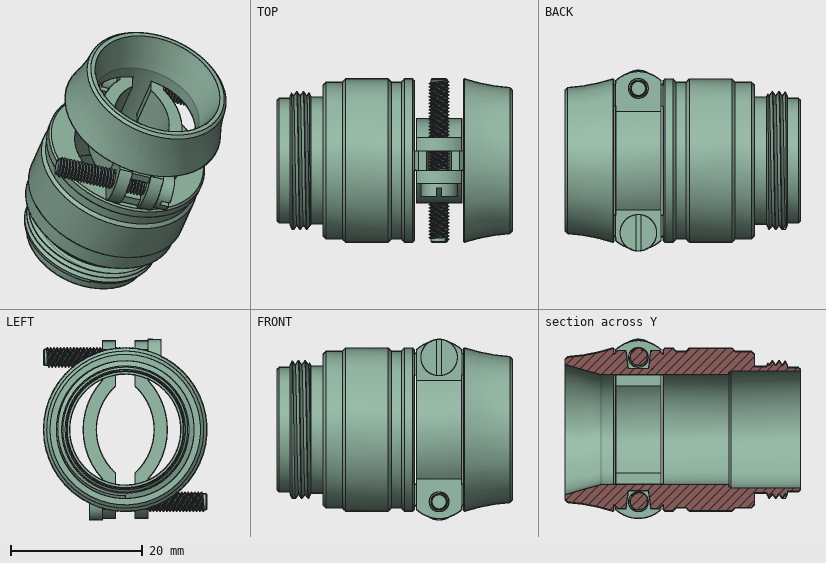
import cadquery as cq
SLEEVE_START = -18.0
SLEEVE_END = 3.0
SPIGOT_RADIUS = 9.55
THREAD_CORE_RADIUS = 9.72
THREAD_CREST_RADIUS = 10.5
COLLAR_RADIUS = 12.0
BAND_RADIUS = 12.5
EDGE_CHAMFER = 0.5
SPIGOT_CHAMFER = 0.35
THREAD_START = -16.02
THREAD_END = -12.78
GROOVE_START = -15.7
THREAD_RUN_OUT = 0.35
THREAD_PITCH = 1.0
THREAD_ROOT_RADIUS = 9.85
COLLAR_START = -10.98
WIDE_BAND_START = -8.0
WIDE_BAND_END = -0.5
REAR_BAND_START = 1.0
REAR_CHAMFER = 0.3

ENTRY_BORE_RADIUS = 9.0
ENTRY_BORE_END = -7.35
MIDDLE_BORE_RADIUS = 8.85
MIDDLE_BORE_END = -7.02
BORE_RADIUS = 8.45

RING_START = 10.5
RING_END = 18.0
RING_MIDDLE_X = 14.1
RING_MIDDLE_RADIUS = 11.6
RING_REAR_RADIUS = 11.12
RING_FRONT_CHAMFER = 0.1
RING_REAR_CHAMFER = 0.45
RING_LIP_END = 12.5
RING_MOUTH_RADIUS = 10.0

CLAMP_CENTER_X = 6.75
CLAMP_WIDTH = 6.9
CLAMP_INNER_RADIUS = 9.0
CLAMP_WALL = 2.05
CLAMP_SHIFT = 4.6
LUG_GAP = 2.95
LUG_THICKNESS = 2.0
LUG_SHOULDER_Z = 12.2
LUG_TOP_Z = 13.57
BRIDGE_TOP_Z = 12.1
BRIDGE_CHAMFER = 0.65
GROOVE_TOP_WIDTH = 3.78
GROOVE_FLOOR_WIDTH = 3.05
GROOVE_FLOOR_Z = 9.35

SCREW_Z = 11.0
SCREW_RADIUS = 1.5
SCREW_ROOT_RADIUS = 1.25
SCREW_PITCH = 0.5
SCREW_TIP_Y = BAND_RADIUS
SCREW_TIP_CHAMFER = 0.18
HEAD_RADIUS = 2.79
HEAD_HEIGHT = 1.98
SLOT_WIDTH = 0.75
SLOT_DEPTH = 1.3

THREAD_FILL = 0.96
RIDGE_OVERLAP = 0.1
THREAD_SINK = 0.3
GROOVE_OVERRUN = 0.05

LUG_INNER_Y = LUG_GAP / 2
LUG_OUTER_Y = LUG_INNER_Y + LUG_THICKNESS


def revolve_about_x(points):
    profile = cq.Workplane("XY").polyline(points).close()
    return profile.revolve(360, (0, 0, 0), (1, 0, 0))


def half_turn(shape):
    return shape.rotate((0, 0, 0), (1, 0, 0), 180)


def helical_sweep(corners, pitch, length):
    """Solid swept by a (radius, z) outline winding around Z from z = 0 to z = length."""
    path = cq.Wire.makeHelix(pitch, length, corners[0][0])
    return cq.Workplane("XZ").polyline(corners).close().sweep(cq.Workplane(obj=path), isFrenet=True)


def sleeve():
    """Outer shape of the sleeve, still solid."""
    c = EDGE_CHAMFER
    return revolve_about_x([
        (SLEEVE_START, 0),
        (SLEEVE_START, SPIGOT_RADIUS - SPIGOT_CHAMFER),
        (SLEEVE_START + SPIGOT_CHAMFER, SPIGOT_RADIUS),
        (THREAD_START, SPIGOT_RADIUS),
        (THREAD_START, THREAD_CORE_RADIUS),
        (COLLAR_START, THREAD_CORE_RADIUS),
        (COLLAR_START, COLLAR_RADIUS - c),
        (COLLAR_START + c, COLLAR_RADIUS),
        (WIDE_BAND_START, COLLAR_RADIUS),
        (WIDE_BAND_START + c, BAND_RADIUS),
        (WIDE_BAND_END - c, BAND_RADIUS),
        (WIDE_BAND_END, COLLAR_RADIUS),
        (REAR_BAND_START, COLLAR_RADIUS),
        (REAR_BAND_START + c, BAND_RADIUS),
        (SLEEVE_END - REAR_CHAMFER, BAND_RADIUS),
        (SLEEVE_END, BAND_RADIUS - REAR_CHAMFER),
        (SLEEVE_END, 0),
    ])


def sleeve_thread():
    """Outer thread: a V groove wound through a band with chamfered ends."""
    band = revolve_about_x([
        (THREAD_START, 0),
        (THREAD_START, THREAD_CORE_RADIUS),
        (THREAD_START + THREAD_RUN_OUT, THREAD_CREST_RADIUS),
        (THREAD_END - THREAD_RUN_OUT, THREAD_CREST_RADIUS),
        (THREAD_END, THREAD_CORE_RADIUS),
        (THREAD_END, 0),
    ])
    half_width = THREAD_FILL * THREAD_PITCH / 2
    mouth_radius = THREAD_CREST_RADIUS + GROOVE_OVERRUN
    corners = [(mouth_radius, -half_width), (THREAD_ROOT_RADIUS, 0), (mouth_radius, half_width)]
    groove = helical_sweep(corners, THREAD_PITCH, THREAD_END + THREAD_PITCH - GROOVE_START)
    groove = groove.rotate((0, 0, 0), (0, 1, 0), 90).translate((GROOVE_START, 0, 0))
    return band.cut(groove)


def end_ring():
    """Flared ring, still solid, with a hollow-curved outer side."""
    profile = (
        cq.Workplane("XY")
        .moveTo(RING_START, 0)
        .lineTo(RING_START, BAND_RADIUS - RING_FRONT_CHAMFER)
        .lineTo(RING_START + RING_FRONT_CHAMFER, BAND_RADIUS)
        .threePointArc((RING_MIDDLE_X, RING_MIDDLE_RADIUS), (RING_END, RING_REAR_RADIUS))
        .lineTo(RING_END, 0)
        .close()
    )
    ring = profile.revolve(360, (0, 0, 0), (1, 0, 0))
    return ring.faces(">X").edges().chamfer(RING_REAR_CHAMFER)


def bore():
    """Stepped bore through the sleeve, opening into a cone at the rear of the ring."""
    return revolve_about_x([
        (SLEEVE_START, 0),
        (SLEEVE_START, ENTRY_BORE_RADIUS),
        (ENTRY_BORE_END, ENTRY_BORE_RADIUS),
        (ENTRY_BORE_END, MIDDLE_BORE_RADIUS),
        (MIDDLE_BORE_END, MIDDLE_BORE_RADIUS),
        (MIDDLE_BORE_END, BORE_RADIUS),
        (RING_LIP_END, BORE_RADIUS),
        (RING_END, RING_MOUTH_RADIUS),
        (RING_END, 0),
    ])


def bridge():
    """Upper bar joining sleeve and ring, grooved for the screw."""
    length = RING_START - SLEEVE_END
    bar = cq.Workplane("XY").box(length, LUG_GAP, BRIDGE_TOP_Z, centered=(True, True, False))
    bar = bar.translate((SLEEVE_END + length / 2, 0, 0))
    bar = bar.edges("|Y and >Z").chamfer(BRIDGE_CHAMFER)
    groove = (
        cq.Workplane("XZ", origin=(CLAMP_CENTER_X, 0, 0))
        .polyline([
            (-GROOVE_TOP_WIDTH / 2, BRIDGE_TOP_Z),
            (-GROOVE_FLOOR_WIDTH / 2, GROOVE_FLOOR_Z),
            (GROOVE_FLOOR_WIDTH / 2, GROOVE_FLOOR_Z),
            (GROOVE_TOP_WIDTH / 2, BRIDGE_TOP_Z),
        ])
        .close()
        .extrude(LUG_GAP, both=True)
    )
    return bar.cut(groove)


def lug():
    """Upper lug on the +Y side, with a rounded top."""
    half = CLAMP_WIDTH / 2
    return (
        cq.Workplane("XZ", origin=(CLAMP_CENTER_X, LUG_OUTER_Y, 0))
        .moveTo(-half, 0)
        .lineTo(-half, LUG_SHOULDER_Z)
        .threePointArc((0, LUG_TOP_Z), (half, LUG_SHOULDER_Z))
        .lineTo(half, 0)
        .close()
        .extrude(LUG_THICKNESS)
    )


def strap_disc(radius):
    """Disc as wide as the clamp, about the shifted axis of the +Y strap."""
    plane = cq.Workplane("YZ", origin=(CLAMP_CENTER_X, 0, 0)).center(-CLAMP_SHIFT, 0)
    return plane.circle(radius).extrude(CLAMP_WIDTH / 2, both=True)


def clamp_half():
    """Curved strap on the +Y side with a lug at each end."""
    side = cq.Workplane("XY").box(CLAMP_WIDTH, BAND_RADIUS, 2 * LUG_TOP_Z, centered=(True, False, True))
    side = side.translate((CLAMP_CENTER_X, LUG_INNER_Y, 0))
    strap = strap_disc(CLAMP_INNER_RADIUS + CLAMP_WALL).intersect(side)
    lugs = lug().union(lug().mirror("XY"))
    return strap.union(lugs).cut(strap_disc(CLAMP_INNER_RADIUS))


def along_screw(shape, start_y):
    """Lay a shape built up the Z axis along the upper screw axis, starting at start_y."""
    turned = shape.rotate((0, 0, 0), (1, 0, 0), -90)
    return turned.translate((CLAMP_CENTER_X, start_y, SCREW_Z))


def slotted_pin():
    """Upper screw without its thread, head against the -Y lug and tip toward +Y."""
    core = cq.Workplane("XY").circle(SCREW_ROOT_RADIUS).extrude(SCREW_TIP_Y + LUG_OUTER_Y)
    core = core.faces(">Z").chamfer(SCREW_TIP_CHAMFER)
    head = cq.Workplane("XY").circle(HEAD_RADIUS).extrude(-HEAD_HEIGHT)
    slot = cq.Workplane("XY").box(SLOT_WIDTH, 2 * HEAD_RADIUS, SLOT_DEPTH, centered=(True, True, False))
    head = head.cut(slot.translate((0, 0, -HEAD_HEIGHT)))
    return along_screw(core.union(head), -LUG_OUTER_Y)


def screw_thread(start_y, end_y):
    """V ridge on the upper screw, filling the stretch between two Y positions."""
    half_width = THREAD_FILL * SCREW_PITCH / 2
    base_radius = SCREW_ROOT_RADIUS - RIDGE_OVERLAP
    corners = [(base_radius, -half_width), (SCREW_RADIUS, 0), (base_radius, half_width)]
    ridge = helical_sweep(corners, SCREW_PITCH, end_y - start_y - 2 * half_width)
    return along_screw(ridge, start_y + half_width)


tube = sleeve().union(end_ring()).union(bridge()).union(half_turn(bridge()))
tube = tube.union(sleeve_thread()).cut(bore())

clamp = clamp_half().union(slotted_pin())
clamp = clamp.union(screw_thread(-LUG_INNER_Y - THREAD_SINK, LUG_INNER_Y + THREAD_SINK))
clamp = clamp.union(screw_thread(LUG_OUTER_Y - THREAD_SINK, SCREW_TIP_Y - SCREW_TIP_CHAMFER))

result = tube.union(clamp).union(half_turn(clamp))